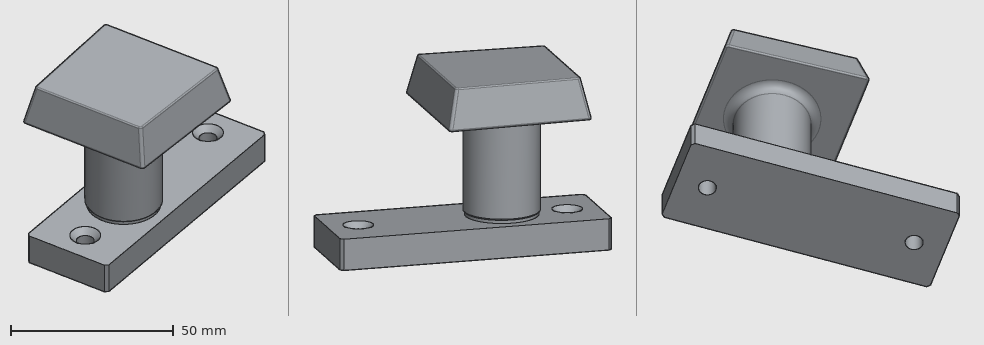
import cadquery as cq

BASE_WIDTH = 30.0
BASE_LENGTH = 87.0
BASE_HEIGHT = 10.0
BASE_CORNER_CHAMFER = 1.0
BASE_CENTER_Y = 12.5

SCREW_HOLE_DIAMETER = 5.5
COUNTERSINK_DIAMETER = 9.5
COUNTERSINK_ANGLE = 90.0
SCREW_HOLE_END_MARGIN = 10.0

SPACER_DIAMETER = 23.0
SPACER_HEIGHT = 1.0

STEM_DIAMETER = 24.0
STEM_LENGTH = 33.0
STEM_END_CHAMFER = 0.5
STEM_FLARE_RADIUS = 3.0

HEAD_BACK_WIDTH = 48.3
HEAD_FRONT_WIDTH = 45.1
HEAD_DEPTH = 46.3
HEAD_CENTER_Y = 0.7
HEAD_HEIGHT = 13.0
HEAD_TAPER = 12.6
HEAD_CORNER_RADIUS = 1.0
HEAD_EDGE_RADIUS = 0.5

STEM_BOTTOM = BASE_HEIGHT + SPACER_HEIGHT
HEAD_BOTTOM = STEM_BOTTOM + STEM_LENGTH


def make_base():
    """Rectangular plate with chamfered upright corners and two countersunk holes."""
    hole_offset = BASE_LENGTH / 2 - SCREW_HOLE_END_MARGIN
    return (
        cq.Workplane("XY")
        .center(0, BASE_CENTER_Y)
        .rect(BASE_WIDTH, BASE_LENGTH)
        .extrude(BASE_HEIGHT)
        .edges("|Z")
        .chamfer(BASE_CORNER_CHAMFER)
        .faces(">Z")
        .workplane(origin=(0, BASE_CENTER_Y, BASE_HEIGHT))
        .pushPoints([(0, -hole_offset), (0, hole_offset)])
        .cskHole(SCREW_HOLE_DIAMETER, COUNTERSINK_DIAMETER, COUNTERSINK_ANGLE)
    )


def make_spacer():
    """Thin disc on which the knob stem stands."""
    return (
        cq.Workplane("XY", origin=(0, 0, BASE_HEIGHT))
        .circle(SPACER_DIAMETER / 2)
        .extrude(SPACER_HEIGHT)
    )


def make_head():
    """Tapered trapezoidal block with rounded corners and edges."""
    back_y = HEAD_CENTER_Y + HEAD_DEPTH / 2
    front_y = HEAD_CENTER_Y - HEAD_DEPTH / 2
    return (
        cq.Workplane("XY", origin=(0, 0, HEAD_BOTTOM))
        .moveTo(-HEAD_FRONT_WIDTH / 2, front_y)
        .lineTo(HEAD_FRONT_WIDTH / 2, front_y)
        .lineTo(HEAD_BACK_WIDTH / 2, back_y)
        .lineTo(-HEAD_BACK_WIDTH / 2, back_y)
        .close()
        .extrude(HEAD_HEIGHT, taper=HEAD_TAPER)
        .edges("not #Z")
        .fillet(HEAD_CORNER_RADIUS)
        .faces("<Z or >Z")
        .edges()
        .fillet(HEAD_EDGE_RADIUS)
    )


def make_stem():
    """Round stem, chamfered at its lower end and flared where it meets the head."""
    radius = STEM_DIAMETER / 2
    flare_center = (radius + STEM_FLARE_RADIUS, HEAD_BOTTOM - STEM_FLARE_RADIUS)
    return (
        cq.Workplane("XZ")
        .moveTo(0, STEM_BOTTOM)
        .lineTo(radius - STEM_END_CHAMFER, STEM_BOTTOM)
        .lineTo(radius, STEM_BOTTOM + STEM_END_CHAMFER)
        .lineTo(radius, flare_center[1])
        .radiusArc((flare_center[0], HEAD_BOTTOM), STEM_FLARE_RADIUS)
        .lineTo(0, HEAD_BOTTOM)
        .close()
        .revolve(360, (0, 0, 0), (0, 1, 0))
    )


def make_knob():
    """Head and stem as one solid."""
    return make_head().union(make_stem())


base = make_base()
spacer = make_spacer()
knob = make_knob()

result = cq.Compound.makeCompound([base.val(), spacer.val(), knob.val()])